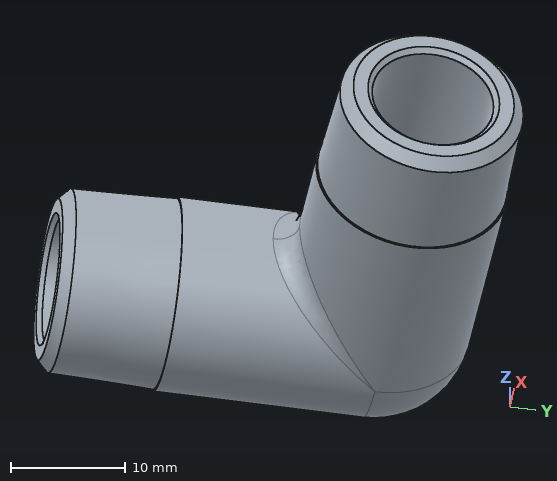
import cadquery as cq

overall_length = 37.6
body_diameter = 17.2
bore_diameter = 10.8
inner_corner_radius = 2.0
taper_start_step = 0.15
spigot_length = 10.38
spigot_tip_radius = 8.15
tip_chamfer = 1.0
bore_chamfer = 0.45

body_radius = body_diameter / 2
bore_radius = bore_diameter / 2
leg_length = overall_length - body_radius
shoulder = leg_length - spigot_length

x_leg_plane = cq.Plane(origin=(0, 0, 0), xDir=(0, 1, 0), normal=(1, 0, 0))
y_leg_plane = cq.Plane(origin=(0, 0, 0), xDir=(1, 0, 0), normal=(0, -1, 0))
leg_planes = (x_leg_plane, y_leg_plane)


def make_body():
    """Two mitred round legs, with a rounded inner corner and a spherical outer corner."""
    x_leg, y_leg = [cq.Workplane(plane).circle(body_radius).extrude(shoulder) for plane in leg_planes]
    legs = x_leg.union(y_leg).union(cq.Workplane("XY").sphere(body_radius))
    return legs.edges("%ELLIPSE").fillet(inner_corner_radius)


def make_spigot(plane):
    """Tapered end with a small step at its shoulder and a chamfered tip."""
    taper_length = spigot_length - tip_chamfer
    taper = (
        cq.Workplane(plane)
        .workplane(offset=shoulder)
        .circle(body_radius - taper_start_step)
        .workplane(offset=taper_length)
        .circle(spigot_tip_radius)
        .loft(ruled=True)
    )
    tip = (
        cq.Workplane(plane)
        .workplane(offset=leg_length - tip_chamfer)
        .circle(spigot_tip_radius)
        .workplane(offset=tip_chamfer)
        .circle(spigot_tip_radius - tip_chamfer)
        .loft(ruled=True)
    )
    return taper.union(tip)


def make_bore(plane):
    """Passage along one leg, with a countersunk mouth."""
    passage = cq.Workplane(plane).circle(bore_radius).extrude(leg_length)
    mouth = (
        cq.Workplane(plane)
        .workplane(offset=leg_length - bore_chamfer)
        .circle(bore_radius)
        .workplane(offset=bore_chamfer)
        .circle(bore_radius + bore_chamfer)
        .loft(ruled=True)
    )
    return passage.union(mouth)


result = make_body()
for leg_plane in leg_planes:
    result = result.union(make_spigot(leg_plane))

passages = cq.Workplane("XY").sphere(bore_radius)
for leg_plane in leg_planes:
    passages = passages.union(make_bore(leg_plane))
result = result.cut(passages)